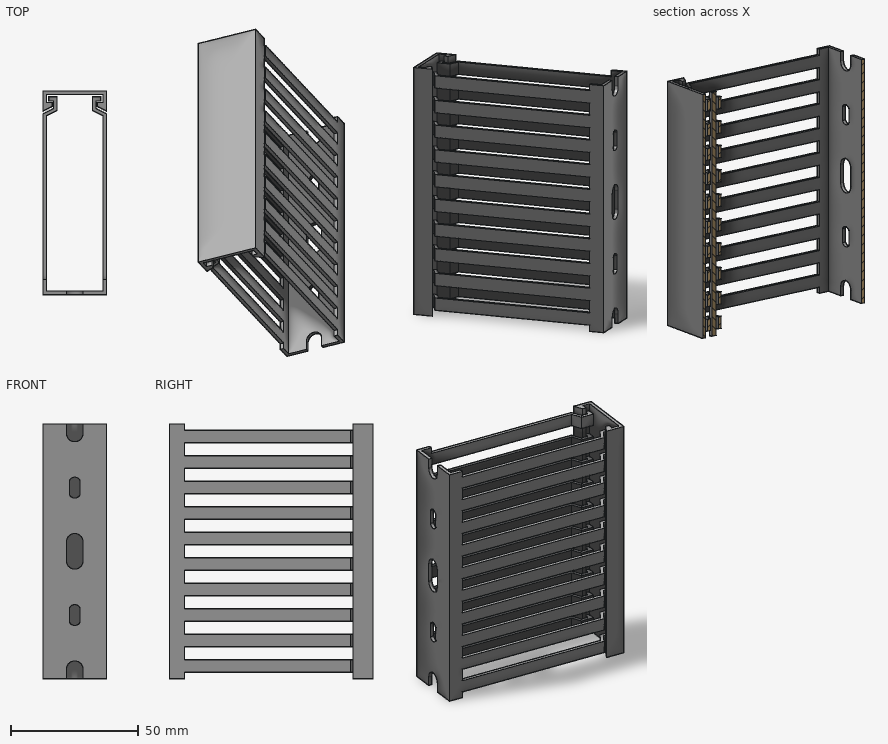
import cadquery as cq

WIDTH = 25.0
HEIGHT = 80.0
LENGTH = 100.0
WALL = 1.5
HALF_WIDTH = WIDTH / 2

CRANK_SLOPE = 0.5

LID_SKIRT = 8.0
LIP_REACH = 3.75
LIP_DEPTH = 4.5

HOOK_TOP_GAP = 2.25
HOOK_TIP_INSET = 2.25
HOOK_STEM_INSET = 4.125
HOOK_THICKNESS = 1.75
CRANK_START_DEPTH = 9.0
RAIL_HEIGHT = 6.0

FINGER_PITCH = 10.0
FINGER_WIDTH = 5.0
FINGER_COUNT = round(LENGTH / FINGER_PITCH)

LARGE_SLOT_WIDTH = 6.5
LARGE_SLOT_LENGTH = 14.0
SMALL_SLOT_WIDTH = 4.0
SMALL_SLOT_LENGTH = 8.2
SMALL_SLOT_END_BULGE = 1.2
LARGE_SLOT_HEIGHTS = [0.0, LENGTH / 2, LENGTH]
SMALL_SLOT_HEIGHTS = [LENGTH / 4, 3 * LENGTH / 4]


def mirrored_outline(right_half):
    """Close a right-half outline with its mirror image about X = 0."""
    left_half = [(-x, y) for x, y in reversed(right_half)]
    return cq.Workplane("XY").polyline(right_half + left_half).close()


def lid_outline():
    lip_edge = HALF_WIDTH - LIP_REACH
    inner_side = HALF_WIDTH - WALL
    skirt_bottom = HEIGHT - LID_SKIRT
    shelf = HEIGHT - LIP_DEPTH
    return mirrored_outline([
        (HALF_WIDTH, HEIGHT),
        (HALF_WIDTH, skirt_bottom),
        (lip_edge, skirt_bottom + LIP_REACH * CRANK_SLOPE),
        (lip_edge, shelf),
        (inner_side, shelf),
        (inner_side, HEIGHT - WALL),
    ])


def base_outline():
    inner_side = HALF_WIDTH - WALL
    crank_start = HEIGHT - CRANK_START_DEPTH
    hook_top = HEIGHT - HOOK_TOP_GAP
    hook_bottom = hook_top - HOOK_THICKNESS
    hook_tip = HALF_WIDTH - HOOK_TIP_INSET
    stem_outer = HALF_WIDTH - HOOK_STEM_INSET
    stem_inner = stem_outer - WALL

    def crank_outer_height(x):
        return crank_start + (HALF_WIDTH - x) * CRANK_SLOPE

    return mirrored_outline([
        (HALF_WIDTH, 0),
        (HALF_WIDTH, crank_start),
        (stem_outer, crank_outer_height(stem_outer)),
        (stem_outer, hook_bottom),
        (hook_tip, hook_bottom),
        (hook_tip, hook_top),
        (stem_inner, hook_top),
        (stem_inner, crank_outer_height(stem_inner) - WALL),
        (inner_side, crank_outer_height(inner_side) - WALL),
        (inner_side, WALL),
    ])


def finger_zones():
    """Volume in which the channel is kept: the full-length rails and every finger."""
    zones = cq.Workplane("XY").box(WIDTH, RAIL_HEIGHT, LENGTH, centered=(True, False, False))
    for index in range(FINGER_COUNT):
        middle = (index + 0.5) * FINGER_PITCH
        finger = (
            cq.Workplane("XY", origin=(0, 0, middle - FINGER_WIDTH / 2))
            .box(WIDTH, HEIGHT, FINGER_WIDTH, centered=(True, False, False))
        )
        zones = zones.union(finger)
    return zones


def large_slots():
    """Cutters for the slots with half-round ends, long along Z."""
    return (
        cq.Workplane("XZ")
        .pushPoints([(0, height) for height in LARGE_SLOT_HEIGHTS])
        .slot2D(LARGE_SLOT_LENGTH, LARGE_SLOT_WIDTH, 90)
        .extrude(-WALL)
    )


def small_slot(height):
    """Cutter for one slot with shallow arc ends, centred at the given Z."""
    half_width = SMALL_SLOT_WIDTH / 2
    tip = SMALL_SLOT_LENGTH / 2
    corner = tip - SMALL_SLOT_END_BULGE
    return (
        cq.Workplane("XZ", origin=(0, 0, height))
        .moveTo(half_width, -corner)
        .lineTo(half_width, corner)
        .threePointArc((0, tip), (-half_width, corner))
        .lineTo(-half_width, -corner)
        .threePointArc((0, -tip), (half_width, -corner))
        .close()
        .extrude(-WALL)
    )


def make_base():
    channel = base_outline().extrude(LENGTH)
    body = channel.intersect(finger_zones()).cut(large_slots())
    for height in SMALL_SLOT_HEIGHTS:
        body = body.cut(small_slot(height))
    return body


def make_lid():
    return lid_outline().extrude(LENGTH)


base = make_base()
lid = make_lid()
result = cq.Compound.makeCompound([base.val(), lid.val()])